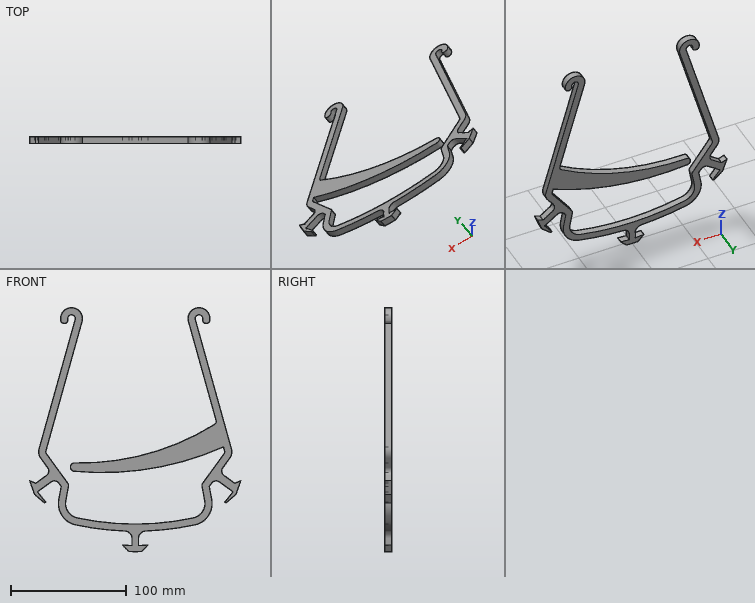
import cadquery as cq
import math


thickness = 6.1
half_strip = 3.175

hook_center = (55.15, 96.13)
hook_radius = 2 * half_strip
hook_overrun = math.radians(10)
shoulder = (81.05, -20.29)
shoulder_radius = 2 * half_strip
elbow = (60.8, -48.3)
side_wall_angle = math.radians(10.5)
base_corner_radius = 5 * half_strip
base_bottom_z = -84.74
base_radius = 242.0

side_foot_fillet = 1.5 * half_strip
bottom_foot_fillet = 2 * half_strip
bottom_stem_half_width = 2.87
bottom_foot_top_z = -100.2
bottom_foot_barb = (11.2, -99.6)
bottom_foot_corner = (5.6, -105.5)
bottom_foot_z = -105.655

side_stem_low = 9.5
side_stem_high = 16.5
side_foot_short_barb = (22.37, 21.3)
side_foot_corner = (25.9, 9.3)
side_foot_long_barb = [(23.3, -1.75), (21.9, -1.9)]
side_stem_high_end = 19.3
side_stem_low_end = 22.4

blade_upper_center = (-47.8, 191.15)
blade_upper_radius = 219.85
blade_lower_center = (-28.4, 220.55)
blade_lower_radius = 257.75
blade_tip = (-56.15, -32.7)
blade_cap_upper_x = -52.0
blade_cap_lower_x = -53.0
blade_root_upper_x = 72.0
blade_root_lower_x = 78.6
blade_fillet = half_strip


def shifted(start, direction, distance):
    return (start[0] + direction[0] * distance, start[1] + direction[1] * distance)


def unit(start, end):
    length = math.dist(start, end)
    return ((end[0] - start[0]) / length, (end[1] - start[1]) / length)


def dot(first, second):
    return first[0] * second[0] + first[1] * second[1]


def polar(center, radius, angle):
    return shifted(center, (math.cos(angle), math.sin(angle)), radius)


def vector(point):
    return cq.Vector(point[0], 0, point[1])


def line(start, end):
    return cq.Edge.makeLine(vector(start), vector(end))


def arc(start, middle, end):
    return cq.Edge.makeThreePointArc(vector(start), vector(middle), vector(end))


def corner_arc(before, corner, after, radius):
    """Start, middle and end of the arc that rounds a corner."""
    back = unit(corner, before)
    ahead = unit(corner, after)
    half_angle = math.acos(dot(back, ahead)) / 2
    setback = radius / math.tan(half_angle)
    bisector = unit((0, 0), (back[0] + ahead[0], back[1] + ahead[1]))
    middle = shifted(corner, bisector, radius / math.sin(half_angle) - radius)
    return shifted(corner, back, setback), middle, shifted(corner, ahead, setback)


def base_corner_arc():
    """Start, middle and end of the arc tangent to the side wall and the base."""
    base_center = (0, base_bottom_z + base_radius)
    down_wall = (math.sin(side_wall_angle), -math.cos(side_wall_angle))
    outward = (-down_wall[1], down_wall[0])
    start = shifted(elbow, outward, -base_corner_radius)
    offset = (start[0] - base_center[0], start[1] - base_center[1])
    center_gap = base_radius - base_corner_radius
    along = dot(offset, down_wall)
    distance = math.sqrt(along**2 - dot(offset, offset) + center_gap**2) - along
    center = shifted(start, down_wall, distance)
    wall_angle = math.atan2(outward[1], outward[0])
    base_angle = math.atan2(center[1] - base_center[1], center[0] - base_center[0])
    angles = (wall_angle, (wall_angle + base_angle) / 2, base_angle)
    return [polar(center, base_corner_radius, angle) for angle in angles]


def extruded(wire):
    """Solid of the full thickness, centred on Y = 0."""
    face = cq.Face.makeFromWires(wire).moved(cq.Location((0, -thickness / 2, 0)))
    return cq.Workplane("XZ").add(cq.Solid.extrudeLinear(face, cq.Vector(0, thickness, 0)))


def arm_lean():
    """Lean from vertical of the arm, which runs tangent to the hook down to the shoulder."""
    run = shoulder[0] - hook_center[0]
    drop = hook_center[1] - shoulder[1]
    return math.atan2(run, drop) + math.asin(hook_radius / math.hypot(run, drop))


def strip():
    hook_end_angle = math.pi + arm_lean()
    hook_tip = polar(hook_center, hook_radius, -hook_overrun)
    hook_middle = polar(hook_center, hook_radius, (hook_end_angle - hook_overrun) / 2)
    hook_end = polar(hook_center, hook_radius, hook_end_angle)
    shoulder_arc = corner_arc(hook_end, shoulder, elbow, shoulder_radius)
    base_arc = base_corner_arc()
    base_end = base_arc[-1]
    half = [
        arc(hook_tip, hook_middle, hook_end),
        line(hook_end, shoulder_arc[0]),
        arc(*shoulder_arc),
        line(shoulder_arc[-1], elbow),
        line(elbow, base_arc[0]),
        arc(*base_arc),
    ]
    base = arc(base_end, (0, base_bottom_z), (-base_end[0], base_end[1]))
    mirrored = [edge.mirror("YZ") for edge in reversed(half)]
    centerline = cq.Wire.assembleEdges(half + [base] + mirrored)
    return extruded(centerline.offset2D(half_strip, "arc")[0])


def bottom_foot():
    half = [
        (bottom_stem_half_width, base_bottom_z),
        (bottom_stem_half_width, bottom_foot_top_z),
        bottom_foot_barb,
        bottom_foot_corner,
    ]
    mirrored = [(-x, z) for x, z in reversed(half)]
    points = half + [(0, bottom_foot_z)] + mirrored
    return extruded(cq.Wire.makePolygon([vector(point) for point in points], close=True))


def side_foot_point(out, up):
    """Point on the +X side given by its distances from the elbow."""
    up_wall = unit(elbow, shoulder)
    out_of_wall = (up_wall[1], -up_wall[0])
    return shifted(shifted(elbow, out_of_wall, out), up_wall, up)


def side_foot():
    outline = [
        (0, side_stem_high),
        (side_stem_high_end, side_stem_high),
        side_foot_short_barb,
        side_foot_corner,
        *side_foot_long_barb,
        (side_stem_low_end, side_stem_low),
        (0, side_stem_low),
    ]
    points = [vector(side_foot_point(*place)) for place in outline]
    return extruded(cq.Wire.makePolygon(points, close=True))


def lower_arc_point(center, radius, x):
    return (x, center[1] - math.sqrt(radius**2 - (x - center[0]) ** 2))


def blade():
    upper = []
    for x in (blade_cap_upper_x, (blade_cap_upper_x + blade_root_upper_x) / 2, blade_root_upper_x):
        upper.append(lower_arc_point(blade_upper_center, blade_upper_radius, x))
    lower = []
    for x in (blade_root_lower_x, (blade_cap_lower_x + blade_root_lower_x) / 2, blade_cap_lower_x):
        lower.append(lower_arc_point(blade_lower_center, blade_lower_radius, x))
    edges = [
        arc(*upper),
        line(upper[-1], lower[0]),
        arc(*lower),
        arc(lower[-1], blade_tip, upper[0]),
    ]
    return extruded(cq.Wire.assembleEdges(edges))


def fillet_corner(body, point, radius):
    """Round the through-thickness edge nearest to a profile point."""
    nearest = cq.selectors.NearestToPointSelector(vector(point).toTuple())
    return body.edges("|Y").edges(nearest).fillet(radius)


def fillet_feet(body):
    side_corners = [side_foot_point(half_strip, up) for up in (side_stem_low, side_stem_high)]
    bottom_corner = (bottom_stem_half_width, base_bottom_z - half_strip)
    corners = [(corner, side_foot_fillet) for corner in side_corners]
    corners.append((bottom_corner, bottom_foot_fillet))
    for (x, z), radius in corners:
        body = fillet_corner(body, (x, z), radius)
        body = fillet_corner(body, (-x, z), radius)
    return body


def fillet_blade(body):
    """Round the corner between the top of the blade and the inside of the arm."""
    root = lower_arc_point(blade_upper_center, blade_upper_radius, blade_root_upper_x)
    return fillet_corner(body, (root[0] - half_strip, root[1]), blade_fillet)


foot = side_foot()
clip = strip().union(bottom_foot()).union(foot).union(foot.mirror("YZ"))
clip = fillet_feet(clip)
clip = fillet_blade(clip.union(blade()))
result = cq.Workplane("XZ").add(clip.val().Solids()[0])